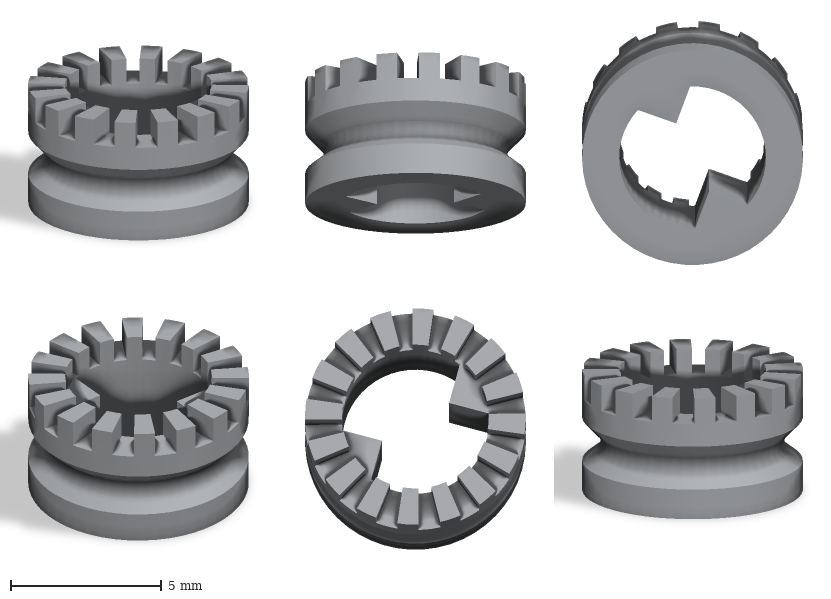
import cadquery as cq
import math

outer_radius = 3.67
bore_radius = 2.44
total_height = 4.17
tooth_height = 0.88
body_height = total_height - tooth_height

lower_rim_height = 1.02
groove_arc_bottom = 1.39
groove_arc_top = 1.945
upper_rim_bottom = 2.5
arc_bottom_radius = 3.2
arc_top_radius = 3.14
groove_floor_radius = 3.06
groove_floor_height = 1.68

tooth_count = 16
slot_outer_width = 0.735
slot_inner_width = 0.44

lug_corner = 0.91


def grooved_ring():
    """Revolve the ring section around Z, up to the tooth tips."""
    return (
        cq.Workplane("XZ")
        .moveTo(bore_radius, 0)
        .lineTo(outer_radius, 0)
        .lineTo(outer_radius, lower_rim_height)
        .lineTo(arc_bottom_radius, groove_arc_bottom)
        .threePointArc(
            (groove_floor_radius, groove_floor_height),
            (arc_top_radius, groove_arc_top),
        )
        .lineTo(outer_radius, upper_rim_bottom)
        .lineTo(outer_radius, total_height)
        .lineTo(bore_radius, total_height)
        .close()
        .revolve(360, (0, 0, 0), (0, 1, 0))
    )


def tooth_slot(angle):
    """Tapered cutter for one slot, extended past both faces of the ring wall."""
    taper = (slot_outer_width - slot_inner_width) / 2 / (
        math.sqrt(outer_radius**2 - (slot_outer_width / 2) ** 2)
        - math.sqrt(bore_radius**2 - (slot_inner_width / 2) ** 2)
    )
    overshoot = 0.15
    near = bore_radius - overshoot
    far = outer_radius + overshoot
    near_half = slot_inner_width / 2 - taper * overshoot
    far_half = slot_outer_width / 2 + taper * overshoot
    return (
        cq.Workplane("XY", origin=(0, 0, body_height))
        .polyline([(near, -near_half), (far, -far_half), (far, far_half), (near, near_half)])
        .close()
        .extrude(tooth_height)
        .rotate((0, 0, 0), (0, 0, 1), angle)
    )


def bore_lug(angle):
    """Full-height lug filling the bore beyond an inward-pointing square corner."""
    wall_overlap = 0.07
    lug_size = bore_radius - lug_corner
    corner_block = (
        cq.Workplane("XY", origin=(lug_corner, lug_corner, 0))
        .rect(lug_size, lug_size, centered=False)
        .extrude(body_height)
    )
    bore_fill = cq.Workplane("XY").circle(bore_radius + wall_overlap).extrude(body_height)
    return corner_block.intersect(bore_fill).rotate((0, 0, 0), (0, 0, 1), angle)


result = grooved_ring()
for index in range(tooth_count):
    result = result.cut(tooth_slot(index * 360 / tooth_count))
for lug_angle in (0, 180):
    result = result.union(bore_lug(lug_angle))